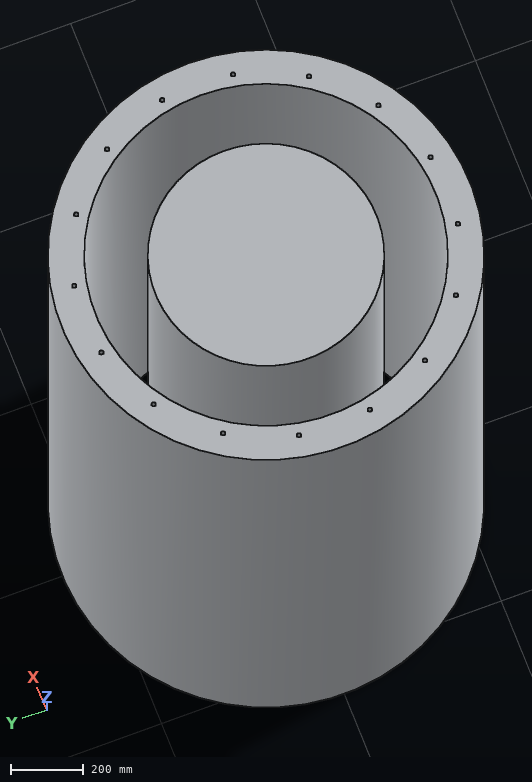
import cadquery as cq

height = 2000.0

tube_diameter = 1200.0
bore_diameter = 1000.0

core_diameter = 650.0

bevel_width = 2.0
bevel_height = 0.1

hole_count = 16
hole_diameter = 12.0
hole_depth = 40.0
hole_circle_diameter = 1070.0
hole_pitch_angle = 360.0 / hole_count


def make_beveled_cylinder(radius, bevel):
    """Cylinder on Z whose radius changes by `bevel` at both ends (negative flares outward)."""
    end_radius = radius - bevel
    return (
        cq.Workplane("XZ")
        .moveTo(0, 0)
        .lineTo(end_radius, 0)
        .lineTo(radius, bevel_height)
        .lineTo(radius, height - bevel_height)
        .lineTo(end_radius, height)
        .lineTo(0, height)
        .close()
        .revolve(360, (0, 0, 0), (0, 1, 0))
    )


def make_hole_ring():
    """Cutters for the blind holes; the first sits half a pitch away from the X axis."""
    return (
        cq.Workplane("XY", origin=(0, 0, height - hole_depth))
        .polarArray(hole_circle_diameter / 2, hole_pitch_angle / 2, 360, hole_count)
        .circle(hole_diameter / 2)
        .extrude(hole_depth)
    )


def make_tube():
    """Open tube with beveled rims and a ring of blind holes in its top face."""
    outside = make_beveled_cylinder(tube_diameter / 2, bevel_width)
    bore = make_beveled_cylinder(bore_diameter / 2, -bevel_width)
    return outside.cut(bore).cut(make_hole_ring())


def make_core():
    """Solid cylinder standing free on the tube axis, with beveled rims."""
    return make_beveled_cylinder(core_diameter / 2, bevel_width)


tube = make_tube()
core = make_core()

result = cq.Compound.makeCompound([tube.val(), core.val()])